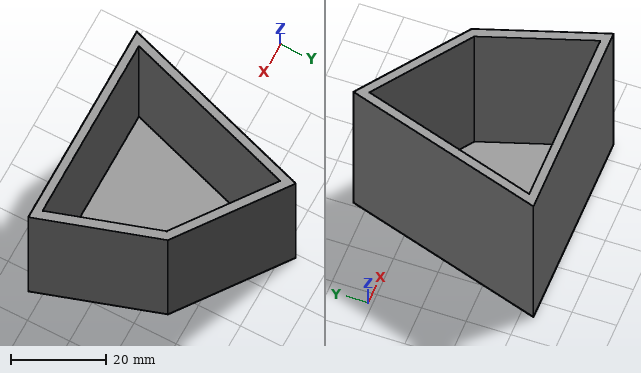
import cadquery as cq
import math

long_side = 48.25
height = 39.0
wall = 2.0
floor = wall
corner_angle = math.radians(72)

golden_ratio = (1 + math.sqrt(5)) / 2
short_side = long_side / golden_ratio

apex = (long_side * math.cos(corner_angle), long_side * math.sin(corner_angle))
blunt_corner = (
    long_side - short_side * math.cos(corner_angle),
    short_side * math.sin(corner_angle),
)
corners = [(0, 0), (long_side, 0), blunt_corner, apex]

body = cq.Workplane("XY").polyline(corners).close().extrude(height)

cavity = (
    cq.Workplane("XY", origin=(0, 0, floor))
    .polyline(corners)
    .close()
    .offset2D(-wall)
    .extrude(height - floor)
)

result = body.cut(cavity)